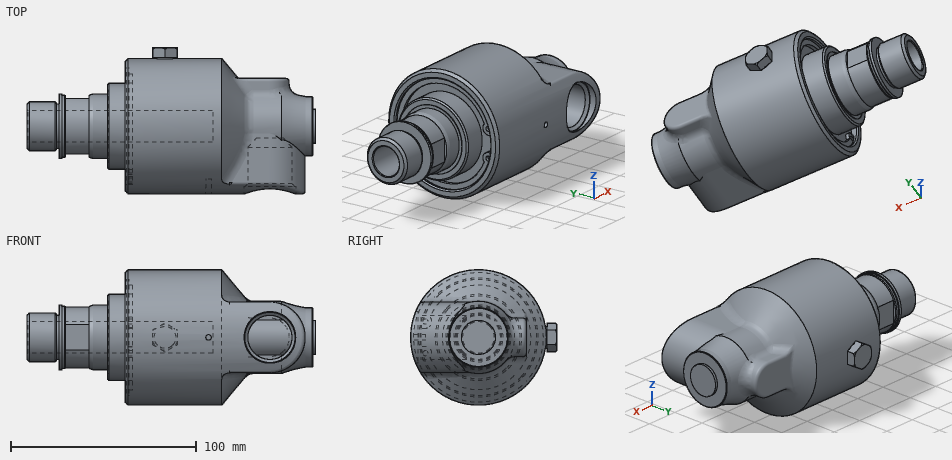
import cadquery as cq
import math

LENGTH = 155.3

THREAD_END = 15.2
FLANGE_START = 17.3
FLANGE_END = 18.9
FLANGE_FOOT_END = 20.2
WRENCH_START = 20.9
WRENCH_END = 33.4
JOURNAL_START = 34.2
SHOULDER_START = 43.3
BODY_START = 52.9
BODY_END = 104.8
NECK_END = 137.0
COLLAR_START = 150.0
COLLAR_END = 153.8

THREAD_R = 26.44 / 2
THREAD_CHAMFER = 1.4
RELIEF_R = 12.0
RELIEF_CHAMFER = 0.7
FLANGE_R = 34.9 / 2
FLANGE_FOOT_R = 33.6 / 2
WRENCH_R = 33.0 / 2
WRENCH_FLAT_WIDTH = 30.0
JOURNAL_START_R = 34.0 / 2
JOURNAL_CHAMFER = 1.4
SHOULDER_R = 46.5 / 2
SHOULDER_CHAMFER = 0.9
SHOULDER_STEP_R = 38.9 / 2
SHOULDER_STEP_DEPTH = 0.4
BORE_R = 17.0 / 2
BORE_DEPTH = 100.0
BORE_CHAMFER = 0.5

BODY_R = 73.0 / 2
BODY_CHAMFER = 1.6
CONE_ANGLE = 50.0
CONE_OVERLAP = 15.0
NECK_R = 38.9 / 2
COLLAR_R = 32.0 / 2
COLLAR_CHAMFER = 0.4
TAPER_SAG = 0.35
TIP_R = 18.4 / 2

RECESS_R = 62.5 / 2
RECESS_DEPTH = 4.0
RECESS_CHAMFER = 0.8
RING_INNER_R = 56.4 / 2
RING_THICKNESS = 2.0
RING_GAP = 9.8
LUG_R = 3.4
LUG_HOLE_R = 2.79 / 2
LUG_Y = -28.5
LUG_Z = 8.5

PORT_X = 130.7
PORT_BOSS_R = 19.0
PORT_BOSS_REACH = 60.0
PORT_RIM_FILLET = 1.8
PORT_RIM_START = 109.0
BACK_BOSS_R = 10.4
BACK_BOSS_Y = 25.8
BACK_RIM_FILLET = 1.9
FOOT_FILLET = 6.0

PORT_MOUTH_R = 27.8 / 2
PORT_MOUTH_Y = -32.5
PORT_SEAT_R = 27.0 / 2
PORT_R = 23.7 / 2
PORT_FLOOR_Y = -6.4
PIPE_R = 22.63 / 2

VENT_X = 97.7
VENT_R = 3.0 / 2
VENT_DEPTH = 8.0

PLUG_X = 74.3
PLUG_TOP_Y = 42.22
PLUG_HEAD_Y = 36.9
PLUG_WIDTH = 13.4
PLUG_CHAMFER = 0.8
PLUG_COLLAR_R = 11.7 / 2
PLUG_COLLAR_DEPTH = 2.0


def revolve_x(profile):
    """Closes a profile and turns it about X, with its seam on -Y."""
    turned = profile.close().revolve(360, (0, 0, 0), (1, 0, 0))
    return turned.rotate((0, 0, 0), (1, 0, 0), 180)


def cylinder_x(start, end, radius):
    return cq.Workplane("YZ", origin=(start, 0, 0)).circle(radius).extrude(end - start)


def cylinder_y(x, start, end, radius):
    return cq.Workplane("XZ", origin=(x, start, 0)).circle(radius).extrude(start - end)


def countersink_x(start, mouth_r, depth):
    """Frustum at 45 degrees, narrowing toward +X, for chamfering the mouth of a bore."""
    end = start + depth
    profile = cq.Workplane("XY").moveTo(start, 0).lineTo(start, mouth_r).lineTo(end, mouth_r - depth)
    return revolve_x(profile.lineTo(end, 0))


def make_shaft():
    """Turned shaft, from its tip to the floor of the housing's recess, with two wrench flats."""
    end = BODY_START + RECESS_DEPTH
    profile = (
        cq.Workplane("XY")
        .lineTo(0, THREAD_R - THREAD_CHAMFER)
        .lineTo(THREAD_CHAMFER, THREAD_R)
        .lineTo(THREAD_END, THREAD_R)
        .lineTo(THREAD_END + RELIEF_CHAMFER, THREAD_R - RELIEF_CHAMFER)
        .lineTo(THREAD_END + RELIEF_CHAMFER, RELIEF_R)
        .lineTo(FLANGE_START, RELIEF_R)
        .lineTo(FLANGE_START, FLANGE_R)
        .lineTo(FLANGE_END, FLANGE_R)
        .lineTo(FLANGE_END, FLANGE_FOOT_R)
        .lineTo(FLANGE_FOOT_END, FLANGE_FOOT_R)
        .lineTo(WRENCH_START, WRENCH_R)
        .lineTo(WRENCH_END, WRENCH_R)
        .lineTo(JOURNAL_START, JOURNAL_START_R)
        .lineTo(JOURNAL_START + JOURNAL_CHAMFER, FLANGE_R)
        .lineTo(SHOULDER_START + SHOULDER_STEP_DEPTH, FLANGE_R)
        .lineTo(SHOULDER_START + SHOULDER_STEP_DEPTH, SHOULDER_STEP_R)
        .lineTo(SHOULDER_START, SHOULDER_STEP_R)
        .lineTo(SHOULDER_START, SHOULDER_R - SHOULDER_CHAMFER)
        .lineTo(SHOULDER_START + SHOULDER_CHAMFER, SHOULDER_R)
        .lineTo(end, SHOULDER_R)
        .lineTo(end, 0)
    )
    shaft = revolve_x(profile)
    cutter = cq.Workplane("XY").box(WRENCH_END - WRENCH_START, FLANGE_R, 2 * FLANGE_R)
    cutter_x = (WRENCH_START + WRENCH_END) / 2
    cutter_y = (WRENCH_FLAT_WIDTH + FLANGE_R) / 2
    for side in (-1, 1):
        shaft = shaft.cut(cutter.translate((cutter_x, side * cutter_y, 0)))
    return shaft


def make_rear():
    """Cone, neck and collar. The cone starts wider than the body and is trimmed to it later."""
    cone_slope = math.tan(math.radians(CONE_ANGLE))
    cone_start = BODY_END - CONE_OVERLAP
    cone_end = BODY_END + (BODY_R - NECK_R) / cone_slope
    taper_middle = ((NECK_END + COLLAR_START) / 2, (NECK_R + COLLAR_R) / 2 - TAPER_SAG)
    profile = (
        cq.Workplane("XY")
        .moveTo(cone_start, 0)
        .lineTo(cone_start, BODY_R + CONE_OVERLAP * cone_slope)
        .lineTo(cone_end, NECK_R)
        .lineTo(NECK_END, NECK_R)
        .threePointArc(taper_middle, (COLLAR_START, COLLAR_R))
        .lineTo(COLLAR_END - COLLAR_CHAMFER, COLLAR_R)
        .lineTo(COLLAR_END, COLLAR_R - COLLAR_CHAMFER)
        .lineTo(COLLAR_END, 0)
    )
    return revolve_x(profile)


def make_boss(radius, end_y):
    """Boss from the axis to end_y, round about the port's axis and running into the cone."""
    start_x = BODY_END - CONE_OVERLAP
    round_part = cylinder_y(PORT_X, max(0, end_y), min(0, end_y), radius)
    straight_part = cq.Workplane("XY").box(PORT_X - start_x, abs(end_y), 2 * radius)
    return round_part.union(straight_part.translate(((start_x + PORT_X) / 2, end_y / 2, 0)))


def blend_boss_feet(rear):
    """Fillets where the cone meets the neck and the boss sides, and around the +Y boss."""
    feet = []
    for edge in rear.edges().vals():
        box = edge.BoundingBox()
        on_boss_top = box.ymin > BACK_BOSS_Y - BACK_RIM_FILLET
        cone_foot = edge.geomType() == "HYPERBOLA" and not on_boss_top
        neck_foot = edge.geomType() == "CIRCLE" and BODY_END < box.xmin and box.xmax < PORT_X
        on_back_boss = BODY_END < box.xmin and box.xmax < COLLAR_START - COLLAR_CHAMFER
        on_back_boss = on_back_boss and box.zmax - box.zmin < 2 * BACK_BOSS_R
        back_foot = on_back_boss and 0 < box.ymin and box.ymax < NECK_R
        if cone_foot or neck_foot or back_foot:
            feet.append(edge)
    return rear.newObject(feet).fillet(FOOT_FILLET)


def round_back_boss_rim(rear):
    """Fillet along the outer rim of the +Y boss, leaving its edge with the cone sharp."""
    rim = []
    for edge in rear.edges().vals():
        on_top_face = edge.BoundingBox().ymin > BACK_BOSS_Y - BACK_RIM_FILLET
        if on_top_face and edge.geomType() != "HYPERBOLA":
            rim.append(edge)
    return rear.newObject(rim).fillet(BACK_RIM_FILLET)


def port_boss_rim_waste():
    """Sliver to remove so that the port boss gets a rounded rim clear of its foot fillet."""
    envelope = cylinder_x(BODY_START, LENGTH, BODY_R)
    sharp = make_boss(PORT_BOSS_R, -PORT_BOSS_REACH).intersect(envelope)
    rim = []
    for edge in sharp.edges().vals():
        box = edge.BoundingBox()
        if box.ymax < -BODY_R / 2 and box.xmax > BODY_END:
            rim.append(edge)
    rounded = sharp.newObject(rim).fillet(PORT_RIM_FILLET)
    return sharp.cut(rounded).intersect(cylinder_x(PORT_RIM_START, LENGTH, 2 * BODY_R))


def make_housing():
    """Body with its recess, and the rear with both bosses."""
    rear = make_rear()
    rear = rear.union(make_boss(PORT_BOSS_R, -PORT_BOSS_REACH))
    rear = rear.union(make_boss(BACK_BOSS_R, BACK_BOSS_Y))
    rear = blend_boss_feet(rear)
    rear = rear.intersect(cylinder_x(BODY_END, LENGTH, BODY_R))
    rear = round_back_boss_rim(rear)
    rear = rear.cut(port_boss_rim_waste())
    body = cylinder_x(BODY_START, BODY_END, BODY_R).faces("<X").chamfer(BODY_CHAMFER)
    body = body.cut(cylinder_x(BODY_START, BODY_START + RECESS_DEPTH, RECESS_R))
    return rear.union(body.cut(countersink_x(BODY_START, RECESS_R + RECESS_CHAMFER, RECESS_CHAMFER)))


def make_retaining_ring():
    """Open ring with a drilled lug on each side of its gap."""
    floor_x = BODY_START + RECESS_DEPTH
    ring_x = floor_x - RING_THICKNESS
    lug_points = [(LUG_Y, -LUG_Z), (LUG_Y, LUG_Z)]
    lug_centers = cq.Workplane("YZ", origin=(ring_x, 0, 0)).pushPoints(lug_points)
    lugs = lug_centers.circle(LUG_R).extrude(RING_THICKNESS)
    ring = cylinder_x(ring_x, floor_x, RECESS_R).cut(cylinder_x(ring_x, floor_x, RING_INNER_R))
    ring = ring.union(lugs.intersect(cylinder_x(ring_x, floor_x, RECESS_R)))
    gap = cq.Workplane("XY").box(RING_THICKNESS, BODY_R, RING_GAP)
    ring = ring.cut(gap.translate((ring_x + RING_THICKNESS / 2, LUG_Y, 0)))
    return ring.cut(lug_centers.circle(LUG_HOLE_R).extrude(RING_THICKNESS))


def make_plug():
    """Hexagon head with chamfered corners on a round collar sunk into the body."""
    corner_r = PLUG_WIDTH / 2 / math.cos(math.pi / 6)
    corner_limit = cylinder_y(PLUG_X, PLUG_TOP_Y, PLUG_HEAD_Y, corner_r).faces(">Y").chamfer(PLUG_CHAMFER)
    head = (
        cq.Workplane("XZ", origin=(PLUG_X, PLUG_TOP_Y, 0))
        .polygon(6, PLUG_WIDTH, circumscribed=True)
        .extrude(PLUG_TOP_Y - PLUG_HEAD_Y)
    )
    head = head.intersect(corner_limit)
    return head.union(cylinder_y(PLUG_X, PLUG_HEAD_Y, BODY_R - PLUG_COLLAR_DEPTH, PLUG_COLLAR_R))


def cut_bore(part):
    """Blind bore from the shaft's tip."""
    part = part.cut(cylinder_x(0, BORE_DEPTH, BORE_R))
    return part.cut(countersink_x(0, BORE_R + BORE_CHAMFER, BORE_CHAMFER))


def cut_side_port(part):
    """Port with a wide mouth and a conical seat; the pipe along X stands up from its floor."""
    seat = countersink_x(0, PORT_SEAT_R, PORT_SEAT_R - PORT_R).rotate((0, 0, 0), (0, 0, 1), 90)
    pipe = cylinder_x(PORT_X - PORT_MOUTH_R, PORT_X + PORT_MOUTH_R, PIPE_R)
    port = cylinder_y(PORT_X, PORT_FLOOR_Y, -BODY_R, PORT_R)
    port = port.union(cylinder_y(PORT_X, PORT_MOUTH_Y, -BODY_R, PORT_MOUTH_R))
    port = port.union(seat.translate((PORT_X, PORT_MOUTH_Y, 0)))
    return part.cut(port.cut(pipe))


def cut_vent(part):
    return part.cut(cylinder_y(VENT_X, VENT_DEPTH - BODY_R, -BODY_R, VENT_R))


result = make_shaft().union(make_housing()).union(make_retaining_ring()).union(make_plug())
result = result.union(cylinder_x(COLLAR_END, LENGTH, TIP_R))
result = cut_bore(result)
result = cut_side_port(result)
result = cut_vent(result)